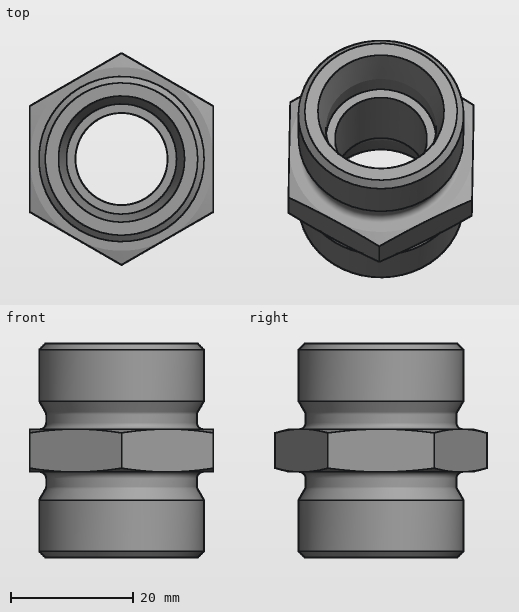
import cadquery as cq
import math

length = 35.0
half_length = length / 2

across_flats = 30.0
hex_height = 7.0
hex_chamfer_angle = 15.0

end_diameter = 27.0
end_chamfer = 1.05
end_length = 9.4
neck_diameter = 24.7
taper_angle = 30.0
taper_blend_radius = 0.75
collar_fillet = 1.0

bore_diameter = 15.0
socket_diameter = 18.0
socket_depth = 10.0
mouth_diameter = 20.6
mouth_angle = 12.0


def tan_deg(angle):
    return math.tan(math.radians(angle))


def make_hex():
    """Hexagon with corners on the Y axis, both faces chamfered by a cone."""
    corner_radius = across_flats / 2 / math.cos(math.radians(30))
    face_radius = across_flats / 2
    half_height = hex_height / 2
    chamfer_drop = (corner_radius - face_radius) * tan_deg(hex_chamfer_angle)
    prism = (
        cq.Workplane("XY")
        .polygon(6, 2 * corner_radius)
        .extrude(half_height, both=True)
        .rotate((0, 0, 0), (0, 0, 1), 90)
    )
    envelope = (
        cq.Workplane("XZ")
        .moveTo(0, -half_height)
        .lineTo(face_radius, -half_height)
        .lineTo(corner_radius, -half_height + chamfer_drop)
        .lineTo(corner_radius, half_height - chamfer_drop)
        .lineTo(face_radius, half_height)
        .lineTo(0, half_height)
        .close()
        .revolve(360, (0, 0, 0), (0, 1, 0))
    )
    return prism.intersect(envelope)


def make_upper_end():
    """Outer body from the mid-plane up: neck, taper and chamfered end."""
    end_radius = end_diameter / 2
    neck_radius = neck_diameter / 2
    collar_top = hex_height / 2
    taper_top = half_length - end_length
    taper_bottom = taper_top - (end_radius - neck_radius) / tan_deg(taper_angle)

    tangent_length = taper_blend_radius * tan_deg(taper_angle / 2)
    blend_start = taper_bottom - tangent_length
    taper_radians = math.radians(taper_angle)
    blend_end = (
        neck_radius + tangent_length * math.sin(taper_radians),
        taper_bottom + tangent_length * math.cos(taper_radians),
    )
    blend_middle = (
        neck_radius + taper_blend_radius * (1 - math.cos(taper_radians / 2)),
        blend_start + taper_blend_radius * math.sin(taper_radians / 2),
    )

    arc_inset = collar_fillet * (1 - math.sqrt(0.5))
    return (
        cq.Workplane("XZ")
        .lineTo(neck_radius + collar_fillet, 0)
        .lineTo(neck_radius + collar_fillet, collar_top)
        .threePointArc(
            (neck_radius + arc_inset, collar_top + arc_inset),
            (neck_radius, collar_top + collar_fillet),
        )
        .lineTo(neck_radius, blend_start)
        .threePointArc(blend_middle, blend_end)
        .lineTo(end_radius, taper_top)
        .lineTo(end_radius, half_length - end_chamfer)
        .lineTo(end_radius - end_chamfer, half_length)
        .lineTo(0, half_length)
        .close()
        .revolve(360, (0, 0, 0), (0, 1, 0))
    )


def make_upper_cavity():
    """Bore, socket and conical mouth from the mid-plane up."""
    bore_radius = bore_diameter / 2
    socket_radius = socket_diameter / 2
    mouth_radius = mouth_diameter / 2
    mouth_depth = (mouth_radius - socket_radius) / tan_deg(mouth_angle)
    return (
        cq.Workplane("XZ")
        .lineTo(bore_radius, 0)
        .lineTo(bore_radius, half_length - socket_depth)
        .lineTo(socket_radius, half_length - socket_depth)
        .lineTo(socket_radius, half_length - mouth_depth)
        .lineTo(mouth_radius, half_length)
        .lineTo(0, half_length)
        .close()
        .revolve(360, (0, 0, 0), (0, 1, 0))
    )


def with_mirror(upper_half):
    """Add the matching half below the mid-plane."""
    return upper_half.union(upper_half.mirror("XY"))


body = make_hex().union(with_mirror(make_upper_end()))
result = body.cut(with_mirror(make_upper_cavity()))